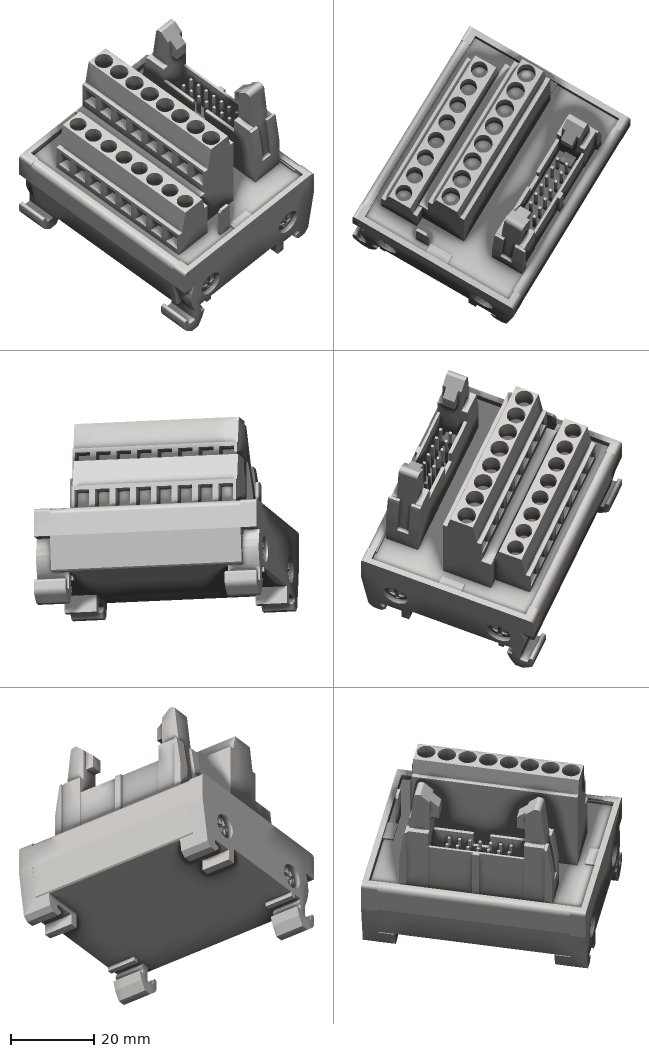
import cadquery as cq
import math

length = 55.0
depth = 45.0
half_length = length / 2
half_depth = depth / 2
rim_z = 22.75
belly_z = 7.4
board_z = 21.45
waist_z = 15.9
end_thickness = 3.95
tray_half = half_length - end_thickness
foot_length = 7.85
end_corner_radius = 0.9
rail_corner_radius = 1.5
end_wall = 1.45
end_front_wall = 2.55
end_back_wall = 2.2
rail_wall = 2.25
rail_lip = 0.2
rail_lip_z = 22.2
board_gap = 0.3
board_thickness = 0.9
tab_length = 2.6
tab_depth = 5.95
tab_rise = 0.45

screw_y = 13.5
screw_z = 12.05
screw_radius = 3.15
screw_recess = 1.2
head_radius = 2.8
dome_height = 0.8
cross_length = 4.0
cross_width = 1.05
cross_depth = 0.65
back_screw_turn = 10.0

ways = 8
block_length = 40.65
pitch = block_length / ways
block_depth = 10.0
shoulder = 1.1
crown_depth = 5.9
crown_setback = 1.9
back_shoulder_drop = 3.9
front_shoulder_drop = 6.45
tall_top_z = 46.65
tall_back_y = 3.5
tall_foot_y = -9.1
tall_foot_z = 32.35
row_step_y = 11.65
row_step_z = 11.45
row_centre_x = -0.15
tall_hole_diameter = 4.45
low_hole_diameter = 4.05
hole_setback = 5.15
hole_depth = 5.5
window_width = 3.65
window_height = 4.5
window_drop = 7.5
window_depth = 2.35
window_taper = 0.4

header_half = 18.75
header_front_y = 11.3
header_back_y = 19.65
header_box_half = 11.7
box_back_y = 18.9
tower_back_y = 19.1
tower_lip_x = 16.95
box_back_wall = 0.6
box_front_wall = 0.8
box_z = 34.45
header_floor_z = 24.2
tower_z = 38.7
tower_lip_z = 38.5
latch_y = 15.25
latch_width = 4.9
latch_tongue = 3.1
tongue_floor_z = 27.15
latch_recess_x = 16.65
latch_top_z = 49.3
nose_x = 9.55
nose_bottom_z = 42.15
latch_foot_x = 9.0
latch_foot_z = 26.4
pin_columns = 7
pin_pitch = 2.55
pin_width = 0.65
pin_z = 34.0
key_width = 1.65
notch_width = 4.2
notch_floor_z = 30.8

contact_x = 23.55
contact_thickness = 0.7
contact_front_y = -6.75
contact_width = 3.45
contact_z = 30.1
contact_chamfer = 0.65


def box(x0, x1, y0, y1, z0, z1):
    """Box between two opposite corners."""
    return cq.Workplane("XY").box(x1 - x0, y1 - y0, z1 - z0, centered=False).translate((x0, y0, z0))


def along_x(points, x0, x1):
    """Prism with a (y, z) outline running from x0 to x1."""
    return cq.Workplane("YZ", origin=(x0, 0, 0)).polyline(points).close().extrude(x1 - x0)


def along_y(points, y0, y1):
    """Prism with an (x, z) outline running from y0 to y1."""
    return cq.Workplane("XZ", origin=(0, y0, 0)).polyline(points).close().extrude(y0 - y1)


def mirrored(solid):
    """The solid together with its mirror image across the YZ plane."""
    return solid.union(solid.mirror("YZ"))


def end_outline():
    """Closed (y, z) outline of an end piece with its fixed foot and spring hook."""
    r = end_corner_radius
    corner = r * math.sqrt(0.5)
    return (
        cq.Workplane("YZ", origin=(-half_length, 0, 0))
        .moveTo(-half_depth + r, rim_z)
        .lineTo(half_depth - r, rim_z)
        .threePointArc((half_depth - r + corner, rim_z - r + corner), (half_depth, rim_z - r))
        .lineTo(half_depth, 15.35)
        .lineTo(20.5, 4.2)
        .lineTo(19.25, 3.0)
        .lineTo(17.15, 3.0)
        .lineTo(16.05, 4.25)
        .lineTo(16.4, 4.85)
        .lineTo(17.05, 4.85)
        .threePointArc((17.55, 5.4), (17.05, 6.1))
        .lineTo(11.95, 6.1)
        .lineTo(11.95, 3.3)
        .lineTo(9.9, 3.3)
        .lineTo(9.9, belly_z)
        .lineTo(-13.4, belly_z)
        .lineTo(-13.4, 6.3)
        .lineTo(-14.8, 6.3)
        .lineTo(-14.8, belly_z)
        .lineTo(-17.15, belly_z)
        .lineTo(-16.4, 6.05)
        .lineTo(-16.95, 5.6)
        .lineTo(-16.95, 4.55)
        .lineTo(-15.6, 4.55)
        .lineTo(-16.4, 2.3)
        .lineTo(-17.8, 0)
        .lineTo(-19.9, 0)
        .lineTo(-21.85, 1.6)
        .threePointArc((-22.35, 2.25), (-half_depth, 3.1))
        .lineTo(-half_depth, 4.85)
        .threePointArc((-21.95, 5.4), (-21.4, 4.85))
        .lineTo(-21.1, 3.85)
        .threePointArc((-20.9, 3.45), (-20.5, 3.3))
        .lineTo(-19.3, 3.3)
        .threePointArc((-19.05, 3.4), (-18.9, 3.75))
        .lineTo(-18.9, 5.8)
        .threePointArc((-19.0, 6.55), (-19.25, 7.25))
        .threePointArc((-19.95, 9.4), (-20.2, 11.65))
        .lineTo(-20.0, 13.4)
        .lineTo(-19.25, waist_z)
        .lineTo(-half_depth, waist_z)
        .lineTo(-half_depth, rim_z - r)
        .threePointArc((-half_depth + r - corner, rim_z - r + corner), (-half_depth + r, rim_z))
        .close()
    )


def end_piece():
    """End piece at -X, slimmed to its plate thickness above the feet."""
    foot = end_outline().extrude(foot_length)
    inboard = box(-tray_half, 0, -half_depth, half_depth, belly_z, rim_z)
    return foot.cut(inboard)


def tray():
    """Middle extrusion carrying the circuit board, with a clearance slot behind the front hooks."""
    body = along_x(
        [
            (-half_depth, rim_z), (-half_depth, waist_z), (-21.2, 7.75), (-20.8, belly_z),
            (20.8, belly_z), (21.2, 7.75), (half_depth, waist_z), (half_depth, rim_z),
        ],
        -tray_half,
        tray_half,
    )
    body = body.edges("|X").edges(">Z").fillet(rail_corner_radius)
    slot = along_x([(-19.0, 14.85), (-20.75, 14.85), (-20.15, 11.55), (-19.0, 11.55)], -tray_half, tray_half)
    return body.cut(slot)


def board_pocket():
    """Space above the circuit board, narrower at the ends than along the tray."""
    rail_y = half_depth - rail_wall
    lip_y = rail_y - rail_lip
    end_x = half_length - end_wall
    front_y = -half_depth + end_front_wall
    back_y = half_depth - end_back_wall
    end_pocket = box(-end_x, -tray_half, front_y, back_y, board_z, rim_z)
    gap = box(-end_x, -end_x + board_gap, front_y, back_y, board_z - board_thickness, board_z)
    tab = box(
        -end_x, -end_x + tab_length, -tab_depth / 2, tab_depth / 2,
        board_z - board_thickness, board_z + tab_rise,
    )
    pocket = box(-tray_half, tray_half, -lip_y, lip_y, board_z, rim_z)
    pocket = pocket.union(box(-tray_half, tray_half, -rail_y, rail_y, rail_lip_z, rim_z))
    pocket = pocket.union(mirrored(end_pocket.union(gap)))
    return pocket.cut(mirrored(tab))


def screw_recess_cut(y, turn):
    """Round recess in the -X end face that leaves a domed screw head with a cross slot."""
    face_x = -half_length
    recess = cq.Workplane("YZ", origin=(face_x, y, screw_z)).circle(screw_radius).extrude(screw_recess)
    ball_radius = (head_radius**2 + dome_height**2) / (2 * dome_height)
    apex_x = face_x + screw_recess - dome_height
    ball = cq.Workplane("XY").sphere(ball_radius).translate((apex_x + ball_radius, y, screw_z))
    recess = recess.cut(ball)
    for arm_turn in (turn, turn + 90):
        arm = (
            cq.Workplane("YZ", origin=(apex_x, y, screw_z))
            .transformed(rotate=(0, 0, arm_turn))
            .rect(cross_length, cross_width)
            .extrude(cross_depth)
        )
        recess = recess.union(arm)
    return recess


def housing():
    """Tray and both end pieces, opened for the board and the screws."""
    body = tray().union(mirrored(end_piece())).cut(board_pocket())
    for y, turn in ((screw_y, -back_screw_turn), (-screw_y, 0)):
        body = body.cut(mirrored(screw_recess_cut(y, turn)))
    return body


def window(x, face_y, top_z):
    """Wire entry that narrows inward at its sides and top."""
    bottom_z = top_z - window_height
    inner_height = window_height - window_taper
    return (
        cq.Workplane("XZ", origin=(x, face_y, bottom_z))
        .center(0, window_height / 2)
        .rect(window_width, window_height)
        .workplane(offset=-window_depth)
        .center(0, -window_taper / 2)
        .rect(window_width - 2 * window_taper, inner_height)
        .loft()
    )


def terminal_block(centre_x, back_y, top_z, hole_diameter):
    """Row of screw terminals with a sloped crown."""
    front_y = back_y - block_depth
    crown_back_y = back_y - crown_setback
    back_ledge_z = top_z - back_shoulder_drop
    front_ledge_z = top_z - front_shoulder_drop
    left_x = centre_x - block_length / 2
    block = along_x(
        [
            (back_y, board_z), (back_y, back_ledge_z), (back_y - shoulder, back_ledge_z),
            (crown_back_y, top_z), (crown_back_y - crown_depth, top_z),
            (front_y + shoulder, front_ledge_z), (front_y, front_ledge_z), (front_y, board_z),
        ],
        left_x,
        left_x + block_length,
    )
    hole_y = back_y - hole_setback
    for way in range(ways):
        x = left_x + (way + 0.5) * pitch
        hole = cq.Workplane("XY", origin=(x, hole_y, top_z)).circle(hole_diameter / 2).extrude(-hole_depth)
        block = block.cut(hole)
        block = block.cut(window(x, front_y, top_z - window_drop))
    return block


def terminal_blocks():
    """Tall row on its pedestal and the low row, half a pitch toward +X."""
    tall_x = row_centre_x - pitch / 4
    low_x = row_centre_x + pitch / 4
    tall = terminal_block(tall_x, tall_back_y, tall_top_z, tall_hole_diameter)
    low = terminal_block(low_x, tall_back_y - row_step_y, tall_top_z - row_step_z, low_hole_diameter)
    pedestal = box(
        tall_x - block_length / 2, tall_x + block_length / 2,
        tall_foot_y, tall_back_y, board_z, tall_foot_z,
    )
    return tall.union(pedestal).union(low)


def latch_tower():
    """Tower at the -X end of the header, slotted for the latch."""
    tower = along_y(
        [
            (-header_half, board_z), (-header_half, 30.35), (-18.5, 32.35), (-17.65, 37.6),
            (-17.45, tower_lip_z), (-latch_recess_x, tower_lip_z), (-latch_recess_x, tower_z),
            (-header_box_half, tower_z), (-header_box_half, board_z),
        ],
        header_front_y,
        header_back_y,
    )
    tower = tower.cut(box(-tower_lip_x, 0, tower_back_y, header_back_y, board_z, tower_z))
    tongue_slot = box(
        -header_half, 0, latch_y - latch_tongue / 2, latch_y + latch_tongue / 2, tongue_floor_z, tower_z
    )
    recess = box(
        -latch_recess_x, 0, latch_y - latch_width / 2, latch_y + latch_width / 2, tongue_floor_z, tower_z
    )
    return tower.cut(tongue_slot).cut(recess)


def latch():
    """Ejector latch at the -X end: leaning arm, tongue in the tower slot and hooked nose."""
    outer_top_x = -15.6
    outer_foot_x = -18.05
    foot_bevel = 0.35
    slope_x = -13.95
    slope_rate = 0.86
    arm_x = -header_box_half
    arm_slope_z = latch_top_z - slope_rate * (arm_x - slope_x)
    nose_slope_z = latch_top_z - slope_rate * (-nose_x - slope_x)
    wide_front = latch_y - latch_width / 2
    tongue_front = latch_y - latch_tongue / 2
    arm = (
        cq.Workplane("XZ", origin=(0, wide_front, 0))
        .moveTo(outer_foot_x + foot_bevel, tongue_floor_z)
        .lineTo(outer_foot_x, tongue_floor_z + 2 * foot_bevel)
        .lineTo(outer_top_x, latch_top_z - 1.05)
        .threePointArc((-15.35, latch_top_z - 0.35), (-14.7, latch_top_z))
        .lineTo(slope_x, latch_top_z)
        .lineTo(arm_x, arm_slope_z)
        .lineTo(arm_x, tongue_floor_z)
        .close()
        .extrude(-latch_width)
    )
    side_width = (latch_width - latch_tongue) / 2
    for side_y in (wide_front, latch_y + latch_tongue / 2):
        arm = arm.cut(box(-header_half, -latch_recess_x, side_y, side_y + side_width, 0, tower_z))
    nose = along_y(
        [
            (arm_x, arm_slope_z), (-nose_x, nose_slope_z),
            (-nose_x, nose_bottom_z), (arm_x, nose_bottom_z),
        ],
        tongue_front,
        tongue_front + latch_tongue,
    )
    foot = box(
        arm_x, -latch_foot_x, tongue_front, tongue_front + latch_tongue, header_floor_z, latch_foot_z
    )
    return arm.union(nose).union(foot)


def pin_header():
    """Open box with two rows of pins between the latch towers."""
    x = header_box_half
    inner_front_y = header_front_y + box_front_wall
    shell = box(-x, x, header_front_y, box_back_y, board_z, box_z)
    cavity = box(-x, x, inner_front_y, box_back_y - box_back_wall, header_floor_z, box_z)
    shell = shell.cut(cavity)
    notch = box(-notch_width / 2, notch_width / 2, header_front_y, inner_front_y, notch_floor_z, box_z)
    shell = shell.cut(notch)
    shell = shell.union(
        box(-key_width / 2, key_width / 2, box_back_y, header_back_y, board_z, box_z)
    )
    for column in range(pin_columns):
        pin_x = (column - (pin_columns - 1) / 2) * pin_pitch
        for row in (-0.5, 0.5):
            pin_y = latch_y + row * pin_pitch
            pin = box(
                pin_x - pin_width / 2, pin_x + pin_width / 2,
                pin_y - pin_width / 2, pin_y + pin_width / 2, header_floor_z, pin_z,
            )
            shell = shell.union(pin)
    return shell.union(mirrored(latch_tower().union(latch())))


def contact_tab():
    """Thin upright blade with clipped top corners."""
    blade = box(
        contact_x, contact_x + contact_thickness,
        contact_front_y, contact_front_y + contact_width, board_z, contact_z,
    )
    return blade.edges("|X and >Z").chamfer(contact_chamfer)


result = housing().union(terminal_blocks()).union(pin_header()).union(contact_tab())